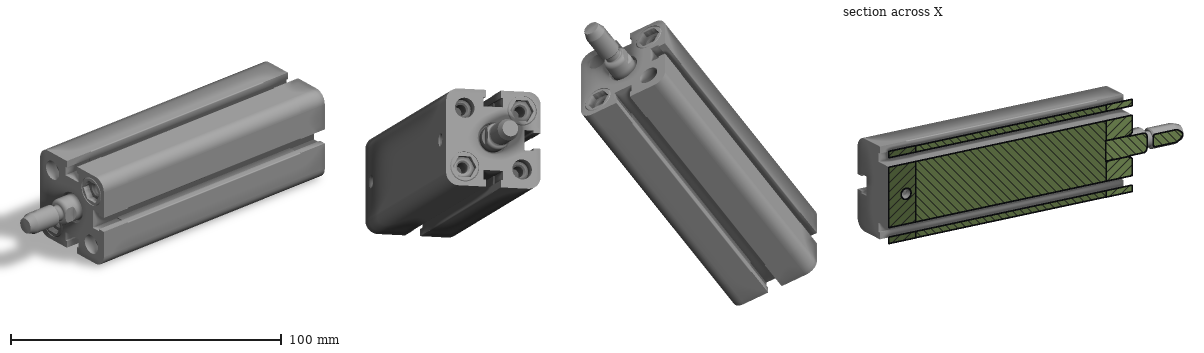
import cadquery as cq
import math


body_width = 36.3
corner_radius = 4.7
overall_length = 129.6
body_length = 107.0
cap_length = 11.7
tube_length = body_length - 2 * cap_length

slot_depth = 6.2
slot_lip = 2.7
slot_mouth_width = 5.8
cap_slot_width = 7.5
tube_slot_width = 6.7
tube_lip_round = 0.4
slot_angles = (0, 90, 180)

fixing_offset = 11.0
fixing_hole_dia = 7.5
fixing_hole_depth = 4.9
thread_core_dia = 4.1
thread_chamfer_dia = 5.5
socket_across_flats = 7.8
socket_depth = 2.6
socket_relief_dia = 8.0
socket_relief_start = 0.5
screw_head_dia = 11.1
screw_head_chamfer = 0.4

port_offset = 7.6
port_dia = 4.1
port_chamfer_dia = 5.0

rod_dia = 10.0
rod_projection = overall_length - body_length
collar_end = 6.6
collar_round = 1.5
neck_dia = 5.8
neck_fillet = 0.4
thread_start = 9.1
thread_dia = 8.0
thread_chamfer = 0.5
tip_cone_start = 19.6
tip_dia = 6.0
flats_across = 8.0
flats_start = 3.0
flats_runout = (rod_dia - flats_across) / 2

gland_dia = 10.9
gland_depth = 1.3
gland_mouth_dia = 12.0
gland_chamfer = (gland_mouth_dia - gland_dia) / 2


def section_plane(y):
    """Sketch plane facing +Y, with local x along X and local y along -Z."""
    return cq.Workplane(cq.Plane(origin=(0, y, 0), xDir=(1, 0, 0), normal=(0, 1, 0)))


def cylinder(dia, depth, start=(0, 0, 0), direction=(0, 1, 0)):
    return cq.Workplane(cq.Solid.makeCylinder(dia / 2, depth, cq.Vector(*start), cq.Vector(*direction)))


def cone(start_dia, end_dia, depth, start=(0, 0, 0), direction=(0, 1, 0)):
    return cq.Workplane(
        cq.Solid.makeCone(start_dia / 2, end_dia / 2, depth, cq.Vector(*start), cq.Vector(*direction))
    )


def chamfered_hole(dia, mouth_dia, depth, start, direction=(0, 1, 0)):
    """Hole with a 45 degree chamfer at its mouth."""
    hole = cylinder(dia, depth, start, direction)
    return hole.union(cone(mouth_dia, dia, (mouth_dia - dia) / 2, start, direction))


def slot(start, length, inner_width):
    """Top T-slot cutter: a narrow mouth above a wider channel."""
    half_width = body_width / 2
    mouth = cq.Workplane().box(slot_mouth_width, length, slot_depth, centered=(True, False, False))
    channel = cq.Workplane().box(inner_width, length, slot_depth - slot_lip, centered=(True, False, False))
    return mouth.union(channel).translate((0, start, half_width - slot_depth))


def slotted_block(start, length, inner_width):
    """Rounded square block with the three T-slots running along it."""
    block = section_plane(start).rect(body_width, body_width).extrude(length)
    block = block.edges("|Y").fillet(corner_radius)
    for angle in slot_angles:
        block = block.cut(slot(start, length, inner_width).rotate((0, 0, 0), (0, 1, 0), angle))
    return block


def cut_port(cap, y):
    """Air port from the -X side, drilled to the rod axis."""
    half_width = body_width / 2
    return cap.cut(chamfered_hole(port_dia, port_chamfer_dia, half_width, (-half_width, y, 0), (1, 0, 0)))


def cut_threaded_hole(cap, x, z, floor):
    """Threaded hole from the given floor depth through the rest of the cap."""
    return cap.cut(chamfered_hole(thread_core_dia, thread_chamfer_dia, cap_length - floor, (x, floor, z)))


def cut_fixing_hole(cap, x, z):
    """Round clearance hole with a threaded hole in its floor."""
    cap = cap.cut(cylinder(fixing_hole_dia, fixing_hole_depth, (x, 0, z)))
    return cut_threaded_hole(cap, x, z, fixing_hole_depth)


def cut_screw_head(cap, x, z):
    """Flush screw head: chamfer groove around its rim, hexagon socket and threaded hole."""
    head_top_dia = screw_head_dia - 2 * screw_head_chamfer
    rim = cylinder(screw_head_dia, screw_head_chamfer, (x, 0, z))
    rim = rim.cut(cone(head_top_dia, screw_head_dia, screw_head_chamfer, (x, 0, z)))
    cap = cap.cut(rim)
    socket_corner_dia = socket_across_flats / math.cos(math.pi / 6)
    socket = section_plane(0).center(x, -z).polygon(6, socket_corner_dia).extrude(socket_depth)
    relief_depth = socket_depth - socket_relief_start
    relief = cylinder(socket_relief_dia, relief_depth, (x, socket_relief_start, z))
    return cut_threaded_hole(cap.cut(socket).cut(relief), x, z, socket_depth)


def make_front_cap():
    cap = slotted_block(0, cap_length, cap_slot_width)
    cap = cap.cut(cylinder(rod_dia, cap_length))
    cap = cap.cut(cylinder(gland_dia, gland_depth))
    cap = cap.cut(cone(gland_mouth_dia, gland_dia, gland_chamfer))
    for side in (-1, 1):
        cap = cut_fixing_hole(cap, side * fixing_offset, -side * fixing_offset)
        cap = cut_screw_head(cap, side * fixing_offset, side * fixing_offset)
    return cut_port(cap, port_offset)


def make_tube():
    tube = slotted_block(cap_length, tube_length, tube_slot_width)
    half_mouth = slot_mouth_width / 2
    half_width = body_width / 2
    middle = body_length / 2
    for side in (-1, 1):
        for lip in (
            (side * half_mouth, middle, half_width),
            (side * half_mouth, middle, -half_width),
            (half_width, middle, side * half_mouth),
        ):
            tube = tube.edges(cq.selectors.NearestToPointSelector(lip)).fillet(tube_lip_round)
    return tube


def make_rear_cap():
    cap = slotted_block(body_length - cap_length, cap_length, cap_slot_width)
    return cut_port(cap, body_length - port_offset)


def make_rod():
    rod_radius = rod_dia / 2
    neck_radius = neck_dia / 2
    thread_radius = thread_dia / 2
    round_start = collar_end - collar_round
    round_middle = collar_round * math.sqrt(0.5)
    profile = (
        cq.Workplane("XY")
        .moveTo(0, cap_length)
        .lineTo(rod_radius, cap_length)
        .lineTo(rod_radius, -round_start)
        .threePointArc(
            (rod_radius - collar_round + round_middle, -round_start - round_middle),
            (rod_radius - collar_round, -collar_end),
        )
        .lineTo(neck_radius + neck_fillet, -collar_end)
        .radiusArc((neck_radius, -collar_end - neck_fillet), -neck_fillet)
        .lineTo(neck_radius, -thread_start)
        .lineTo(thread_radius - thread_chamfer, -thread_start)
        .lineTo(thread_radius, -thread_start - thread_chamfer)
        .lineTo(thread_radius, -tip_cone_start)
        .lineTo(tip_dia / 2, -rod_projection)
        .lineTo(0, -rod_projection)
        .close()
    )
    rod = profile.revolve(360, (0, 0, 0), (0, 1, 0))
    flat_x = flats_across / 2
    for side in (-1, 1):
        flat = (
            cq.Workplane("XY")
            .moveTo(side * flat_x, -collar_end)
            .lineTo(side * flat_x, -flats_start)
            .lineTo(side * rod_radius, -flats_start + flats_runout)
            .lineTo(side * rod_radius, -collar_end)
            .close()
            .extrude(rod_radius, both=True)
        )
        rod = rod.cut(flat)
    return rod


front_cap = make_front_cap()
tube = make_tube()
rear_cap = make_rear_cap()
piston_rod = make_rod()

result = cq.Compound.makeCompound([front_cap.val(), tube.val(), rear_cap.val(), piston_rod.val()])